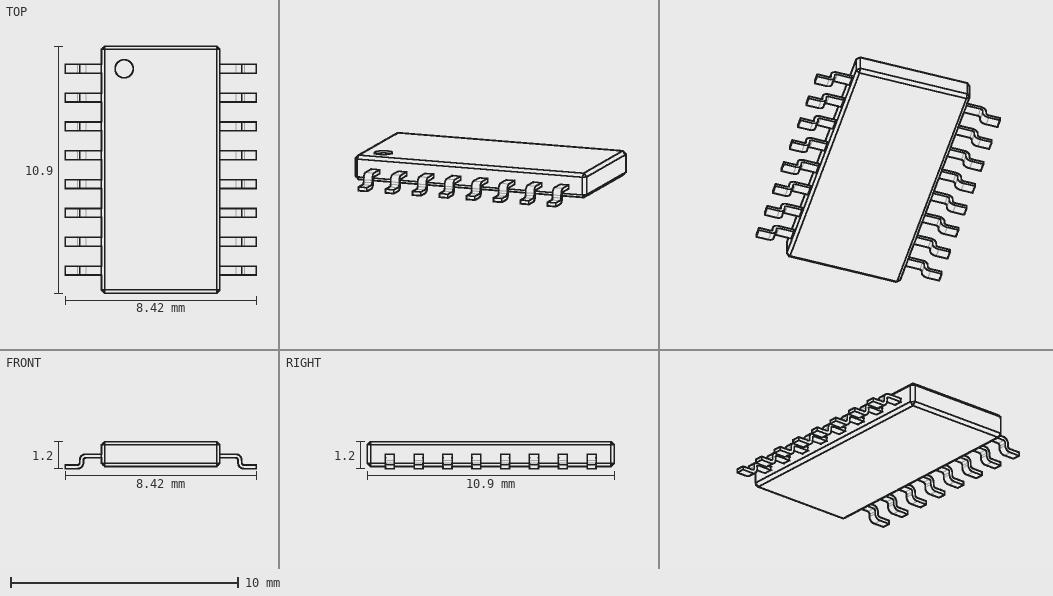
import cadquery as cq
import math

span_x = 8.42
housing_length_y = 10.89
overall_height = 1.2
standoff = 0.1
lead_reach = 1.6
edge_chamfer = 0.15

housing_width_x = span_x - 2 * lead_reach
housing_height = overall_height - standoff

leads_per_side = 8
lead_pitch = 1.27
lead_width = 0.4
lead_thickness = 0.17
lead_rise = 0.48
foot_length = 0.54
bend_inner_radius = 0.1
bend_outer_radius = bend_inner_radius + lead_thickness

mark_diameter = 0.8
mark_inset_x = 1.0
mark_depth = 0.1
mark_thickness = 0.1
mark_x = -housing_width_x / 2 + mark_inset_x
mark_y = (leads_per_side - 1) / 2 * lead_pitch


def lead_side_outline(side):
    """Draw one gull-wing half of a lead in XZ, from the centre plane; side is -1 or +1."""
    tip = span_x / 2
    low_bend = tip - foot_length
    leg_outside = low_bend - bend_inner_radius
    leg_inside = leg_outside - lead_thickness
    high_bend = leg_inside - bend_inner_radius
    strip_top = lead_rise + lead_thickness

    def quarter_arc(path, centre, radius, x_sign, z_sign, end):
        diagonal = radius / math.sqrt(2)
        middle = (side * (centre[0] + x_sign * diagonal), centre[1] + z_sign * diagonal)
        return path.threePointArc(middle, (side * end[0], end[1]))

    high_centre = (high_bend, lead_rise - bend_inner_radius)
    low_centre = (low_bend, bend_outer_radius)

    outline = cq.Workplane("XZ").moveTo(0, strip_top).lineTo(side * high_bend, strip_top)
    outline = quarter_arc(outline, high_centre, bend_outer_radius, 1, 1, (leg_outside, high_centre[1]))
    outline = outline.lineTo(side * leg_outside, low_centre[1])
    outline = quarter_arc(outline, low_centre, bend_inner_radius, -1, -1, (low_bend, lead_thickness))
    outline = outline.lineTo(side * tip, lead_thickness)
    outline = outline.lineTo(side * tip, 0)
    outline = outline.lineTo(side * low_bend, 0)
    outline = quarter_arc(outline, low_centre, bend_outer_radius, -1, -1, (leg_inside, low_centre[1]))
    outline = outline.lineTo(side * leg_inside, high_centre[1])
    outline = quarter_arc(outline, high_centre, bend_inner_radius, 1, 1, (high_bend, lead_rise))
    return outline.lineTo(0, lead_rise).close()


def make_lead(y):
    """Build one lead strip, centred at the given Y."""
    left = lead_side_outline(-1).extrude(lead_width / 2, both=True)
    right = lead_side_outline(1).extrude(lead_width / 2, both=True)
    return left.union(right).translate((0, y, 0))


def make_mark():
    """Build the pin 1 disc."""
    disc = cq.Workplane("XY").circle(mark_diameter / 2).extrude(mark_thickness)
    return disc.translate((mark_x, mark_y, overall_height - mark_depth - mark_thickness))


def make_housing(leads):
    """Build the chamfered housing, with the mark's recess and a passage for each lead."""
    block = cq.Workplane("XY").box(
        housing_width_x, housing_length_y, housing_height, centered=(True, True, False)
    )
    block = block.edges().chamfer(edge_chamfer).translate((0, 0, standoff))
    recess_depth = mark_depth + mark_thickness
    recess = cq.Workplane("XY").circle(mark_diameter / 2).extrude(recess_depth)
    block = block.cut(recess.translate((mark_x, mark_y, overall_height - recess_depth)))
    for lead in leads:
        block = block.cut(lead)
    return block


first_lead_y = -(leads_per_side - 1) / 2 * lead_pitch
leads = [make_lead(first_lead_y + i * lead_pitch) for i in range(leads_per_side)]
housing = make_housing(leads)
mark = make_mark()

result = cq.Compound.makeCompound([housing.val(), mark.val(), *[lead.val() for lead in leads]])